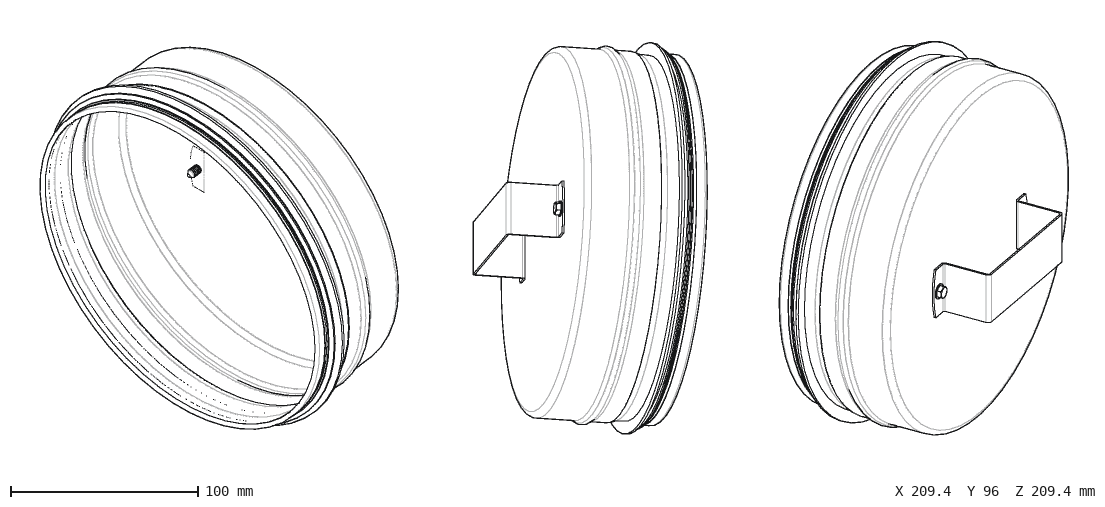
import cadquery as cq
import math

SHEET = 0.6
WALL_R = 198.9 / 2
BACK_Y = 67.0
BACK_CORNER_R = 3.3

BEAD_Y = 39.0
CREST_R = 2.0
FILLET_R = 3.0
BEAD_ANGLE = math.radians(52)

WAIST_Y = 25.3
NECK_Y = 21.8
NECK_R = 98.2
SEAT_R = 195.3 / 2
SEAT_Y = 10.0

HEM_Y = 6.0
RIM_INNER_R = 193.2 / 2
RIM_ROLL_R = (WALL_R - RIM_INNER_R) / 2

SEAL_TOP_Y = 15.3
SLEEVE_R = 198.0 / 2
LIPS = [
    (209.4 / 2, SEAL_TOP_Y, 1.9, 1.5),
    (204.3 / 2, 10.9, 1.5, 0.8),
    (99.9, 8.5, 0.8, 0.6),
]

OVERALL_DEPTH = 96.0
STRIP = 1.0
HANDLE_WIDTH = 28.9
HANDLE_SPAN = 80.2
GRIP_BEND_R = 2.0
FOOT_BEND_R = 0.8
FOOT_END_R = 50.9

SCREW_X = 45.2
COLLAR_D = 8.4
COLLAR_H = 0.5
HEAD_FLATS = 6.3
HEAD_H = 2.7
HEAD_CHAMFER = 0.6
THREAD_D = 5.0
CORE_D = 4.0
PITCH = 1.0
THREAD_TURNS = 5
TIP_D = 2.0
TIP_LENGTH = 1.7


def ring(profile):
    """Revolve a closed (radius, Y) profile around the Y axis."""
    return profile.close().revolve(360, (0, 0, 0), (0, 1, 0))


def add_bead(profile, wall_r, inset):
    """Run the profile down across the bead, with the surface moved inwards by inset."""
    crest_r = CREST_R - inset
    fillet_r = FILLET_R + inset
    top_r = wall_r + (CREST_R + FILLET_R) * (1 - math.cos(BEAD_ANGLE))
    half_width = (CREST_R + FILLET_R) * math.sin(BEAD_ANGLE)

    def on_crest(angle):
        return (top_r - crest_r * (1 - math.cos(angle)), BEAD_Y + crest_r * math.sin(angle))

    def on_fillet(angle, side):
        radius = wall_r + fillet_r * (1 - math.cos(angle))
        return (radius, BEAD_Y + side * (half_width - fillet_r * math.sin(angle)))

    half = BEAD_ANGLE / 2
    return (
        profile.lineTo(*on_fillet(0, 1))
        .threePointArc(on_fillet(half, 1), on_fillet(BEAD_ANGLE, 1))
        .threePointArc(on_crest(0), on_crest(-BEAD_ANGLE))
        .threePointArc(on_fillet(half, -1), on_fillet(0, -1))
    )


def cup(inset):
    """Solid cup shape, with its whole surface moved inwards by inset."""
    wall_r = WALL_R - inset
    back_y = BACK_Y - inset
    corner_r = BACK_CORNER_R - inset
    corner_mid = corner_r * (1 - math.sqrt(0.5))
    profile = (
        cq.Workplane("XY")
        .moveTo(0, back_y)
        .lineTo(wall_r - corner_r, back_y)
        .threePointArc((wall_r - corner_mid, back_y - corner_mid), (wall_r, back_y - corner_r))
    )
    profile = (
        add_bead(profile, wall_r, inset)
        .lineTo(wall_r, WAIST_Y)
        .lineTo(NECK_R - inset, NECK_Y)
        .lineTo(SEAT_R - inset, SEAT_Y)
        .lineTo(SEAT_R - inset, RIM_ROLL_R)
        .lineTo(0, RIM_ROLL_R)
    )
    return ring(profile)


def hem():
    """Thick band that the wall ends in, from the roll up to the seal."""
    inner_r = SEAT_R - SHEET
    return ring(
        cq.Workplane("XY")
        .moveTo(inner_r, RIM_ROLL_R)
        .lineTo(WALL_R, RIM_ROLL_R)
        .lineTo(WALL_R, HEM_Y)
        .lineTo(inner_r, HEM_Y)
    )


def rim_roll():
    """Round roll along the open edge, flush with the outside of the wall."""
    centre_r = WALL_R - RIM_ROLL_R
    return cq.Workplane(
        cq.Solid.makeTorus(centre_r, RIM_ROLL_R, cq.Vector(0, RIM_ROLL_R, 0), cq.Vector(0, 1, 0))
    )


def screw_holes(length):
    """Cylinders along Y at both screw places, from inside the cap outwards."""
    return (
        cq.Workplane("XZ", origin=(0, BACK_Y - length / 2, 0))
        .pushPoints([(-SCREW_X, 0), (SCREW_X, 0)])
        .circle(THREAD_D / 2)
        .extrude(-length)
    )


def make_cap():
    shell = cup(0).cut(cup(SHEET))
    return shell.union(hem()).union(rim_roll()).cut(screw_holes(4 * STRIP))


def make_seal():
    slope = (NECK_R - SEAT_R) / (NECK_Y - SEAT_Y)
    top_inner_r = SEAT_R + slope * (SEAL_TOP_Y - SEAT_Y)
    profile = cq.Workplane("XY").moveTo(top_inner_r, SEAL_TOP_Y)
    for tip_r, back_y, root, tip in LIPS:
        profile = (
            profile.lineTo(SLEEVE_R, back_y)
            .lineTo(tip_r, back_y)
            .lineTo(tip_r, back_y - tip)
            .lineTo(SLEEVE_R, back_y - root)
        )
    return ring(profile.lineTo(SLEEVE_R, HEM_Y).lineTo(SEAT_R, HEM_Y).lineTo(SEAT_R, SEAT_Y))


def make_handle():
    half_span = HANDLE_SPAN / 2
    half_inside = half_span - STRIP
    foot_top = BACK_Y + STRIP
    strip = (
        cq.Workplane("XY", origin=(0, 0, -HANDLE_WIDTH / 2))
        .polyline([
            (-FOOT_END_R, BACK_Y),
            (-half_inside, BACK_Y),
            (-half_inside, OVERALL_DEPTH - STRIP),
            (half_inside, OVERALL_DEPTH - STRIP),
            (half_inside, BACK_Y),
            (FOOT_END_R, BACK_Y),
            (FOOT_END_R, foot_top),
            (half_span, foot_top),
            (half_span, OVERALL_DEPTH),
            (-half_span, OVERALL_DEPTH),
            (-half_span, foot_top),
            (-FOOT_END_R, foot_top),
        ])
        .close()
        .extrude(HANDLE_WIDTH)
    )
    bends = [
        (half_span, OVERALL_DEPTH, GRIP_BEND_R),
        (half_inside, OVERALL_DEPTH - STRIP, GRIP_BEND_R - STRIP),
        (half_inside, BACK_Y, FOOT_BEND_R + STRIP),
        (half_span, foot_top, FOOT_BEND_R),
    ]
    for x, y, radius in bends:
        for side in (-1, 1):
            corner = cq.selectors.NearestToPointSelector((side * x, y, 0))
            strip = strip.edges("|Z").edges(corner).fillet(radius)
    rounded_ends = cq.Workplane("XZ").circle(FOOT_END_R).extrude(-OVERALL_DEPTH)
    return strip.intersect(rounded_ends).cut(screw_holes(4 * STRIP))


def screw_head(base_y):
    """Hexagon with two corners along Z and a conical chamfer around its outer face."""
    corner_r = HEAD_FLATS / math.sqrt(3)
    hexagon = (
        cq.Workplane("XZ", origin=(0, base_y, 0))
        .polygon(6, 2 * corner_r)
        .extrude(-HEAD_H)
        .rotate((0, 0, 0), (0, 1, 0), 30)
    )
    chamfered_disc = (
        cq.Workplane("XZ", origin=(0, base_y, 0))
        .circle(corner_r)
        .extrude(-HEAD_H)
        .faces(">Y")
        .chamfer(HEAD_CHAMFER)
    )
    return hexagon.intersect(chamfered_disc)


def make_screw(x):
    collar_y = BACK_Y + STRIP
    collar_top = collar_y + COLLAR_H
    thread_y = BACK_Y - SHEET
    profile = (
        cq.Workplane("XY")
        .moveTo(0, collar_top)
        .lineTo(COLLAR_D / 2, collar_top)
        .lineTo(COLLAR_D / 2, collar_y)
        .lineTo(THREAD_D / 2, collar_y)
        .lineTo(THREAD_D / 2, thread_y)
        .lineTo(CORE_D / 2, thread_y)
    )
    for turn in range(THREAD_TURNS):
        root_y = thread_y - turn * PITCH
        profile = (
            profile.lineTo(THREAD_D / 2, root_y - PITCH / 2)
            .lineTo(CORE_D / 2, root_y - PITCH)
        )
    tip_y = thread_y - THREAD_TURNS * PITCH - TIP_LENGTH
    shank = ring(profile.lineTo(TIP_D / 2, tip_y).lineTo(0, tip_y))
    return shank.union(screw_head(collar_top)).translate((x, 0, 0))


cap = make_cap()
seal = make_seal()
handle = make_handle()
screws = [make_screw(x).val() for x in (-SCREW_X, SCREW_X)]

result = cq.Compound.makeCompound([cap.val(), seal.val(), handle.val(), *screws])